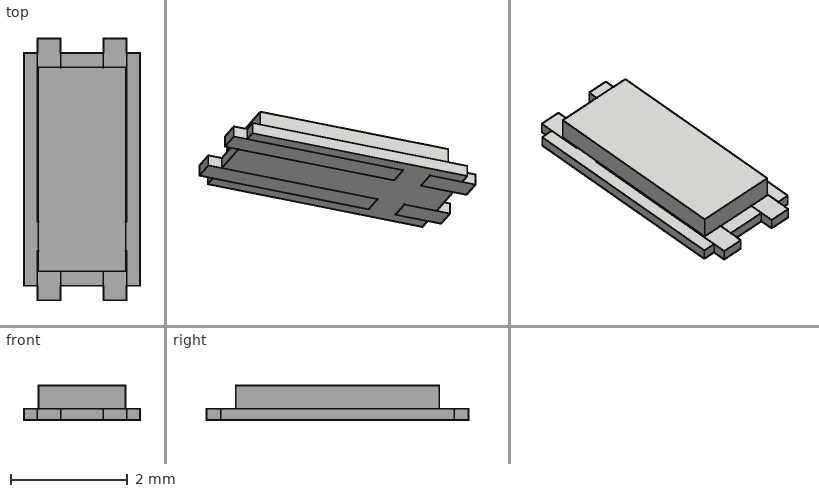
import cadquery as cq

overall_length = 4.5
base_width = 2.0
base_length = 4.0
base_height = 0.2

cover_width = 1.5
cover_length = 3.5
cover_height = 0.4

lead_width = 0.4
lead_pitch = 1.135
long_lead_length = 3.15
short_lead_length = 0.85


def block(width, length, height, center_x=0, center_y=0, bottom=0):
    """Rectangular block placed by the center of its bottom face."""
    return (
        cq.Workplane("XY", origin=(center_x, center_y, bottom))
        .box(width, length, height, centered=(True, True, False))
    )


def make_lead(center_x, length, end):
    """Lead whose outer tip is at the +Y end (end = 1) or the -Y end (end = -1)."""
    center_y = end * (overall_length - length) / 2
    return block(lead_width, length, base_height, center_x, center_y)


def make_leads():
    """A long lead at the +Y end and a short one at the -Y end, on each side."""
    leads = []
    for side in (-1, 1):
        center_x = side * lead_pitch / 2
        leads.append(make_lead(center_x, long_lead_length, 1))
        leads.append(make_lead(center_x, short_lead_length, -1))
    return leads


def make_base(leads):
    """Base plate with a through slot matching each lead."""
    base = block(base_width, base_length, base_height)
    for lead in leads:
        base = base.cut(lead)
    return base


def make_cover():
    """Plain block resting on the base plate and the leads."""
    return block(cover_width, cover_length, cover_height, bottom=base_height)


leads = make_leads()
base = make_base(leads)
cover = make_cover()

result = cq.Compound.makeCompound(
    [base.val().Solids()[0], cover.val(), *[lead.val() for lead in leads]]
)